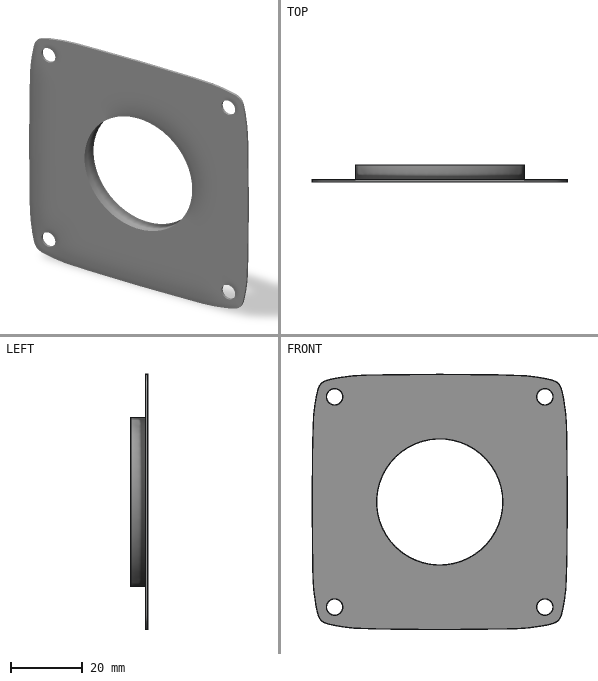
import cadquery as cq

plate_size = 71.0
plate_thickness = 0.7
overall_depth = 4.8
collar_diameter = 47.0
bore_diameter = 35.0
screw_hole_diameter = 4.5
screw_hole_spacing = 58.4

half_size = plate_size / 2
corner_reach = 32.95
side_points = [(13.5, 35.35), (24.15, 35.1), (29.8, 34.2)]


def draw_outline():
    """Draw the outline clockwise from the top middle, one spline per corner."""
    past_corner = [(z, x) for x, z in reversed(side_points)]
    quarter = side_points + [(corner_reach, corner_reach)] + past_corner + [(half_size, 0.0)]
    start_direction = (1, 0)
    end_direction = (0, -1)
    outline = cq.Workplane("XZ").moveTo(0, half_size)
    for _ in range(4):
        outline = outline.spline(quarter, tangents=[start_direction, end_direction], includeCurrent=True)
        quarter = [(z, -x) for x, z in quarter]
        start_direction = end_direction
        end_direction = (end_direction[1], -end_direction[0])
    return outline.close()


def extrude_toward_back(sketch, depth):
    """Extrude an XZ sketch from the front face toward +Y."""
    return sketch.extrude(-depth)


plate = extrude_toward_back(draw_outline(), plate_thickness)

collar = extrude_toward_back(cq.Workplane("XZ").circle(collar_diameter / 2), overall_depth)

bore = extrude_toward_back(cq.Workplane("XZ").circle(bore_diameter / 2), overall_depth)
screw_hole_sketch = (
    cq.Workplane("XZ")
    .rect(screw_hole_spacing, screw_hole_spacing, forConstruction=True)
    .vertices()
    .circle(screw_hole_diameter / 2)
)
screw_holes = extrude_toward_back(screw_hole_sketch, plate_thickness)

result = plate.union(collar).cut(bore).cut(screw_holes)